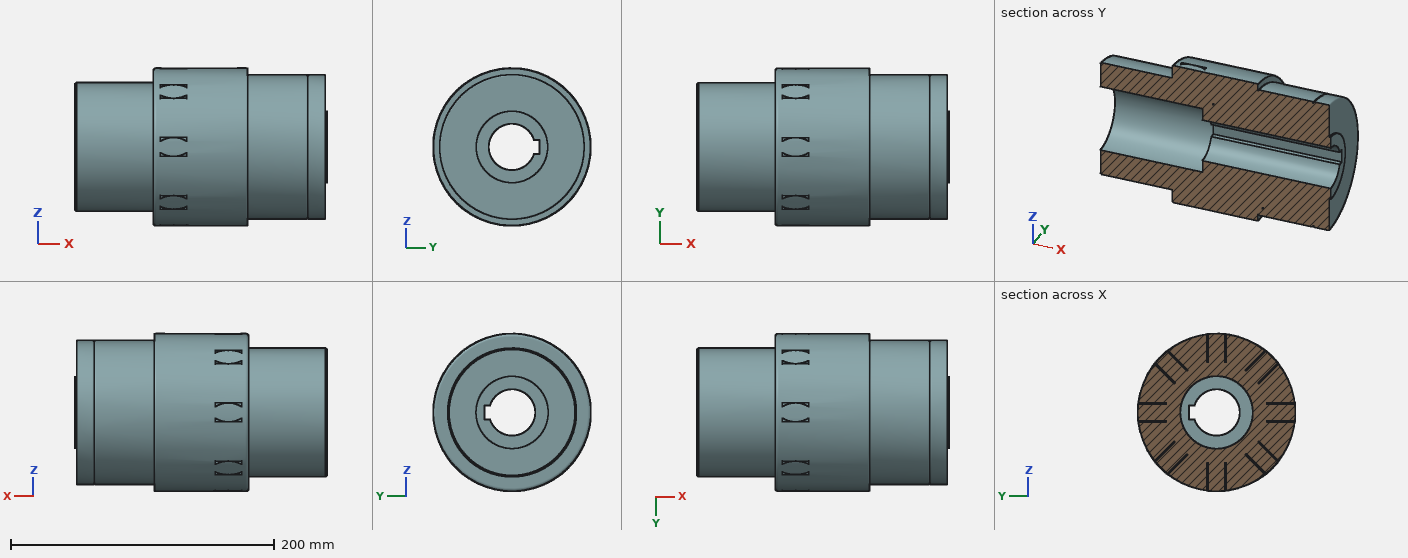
import cadquery as cq
import math

length = 191.5
flange_start = 59.4
slot_start = 65.0
slot_length = 20.0
flange_end = 131.2
groove_center = 177.0
hub_end = 190.4

flange_diameter = 120.0
left_bore_diameter = 55.0
right_bore_diameter = 35.0
left_hub_radius = 49.0
flange_radius = flange_diameter / 2
right_hub_radius = 55.0
boss_radius = 27.2
left_bore_radius = left_bore_diameter / 2
right_bore_radius = right_bore_diameter / 2

left_hub_chamfer = 1.1
right_hub_fillet = 1.1
flange_fillet = 2.5
flange_chamfer_length = 1.3
flange_chamfer_depth = 0.4
groove_floor_width = 0.2

keyway_width = 10.5
keyway_reach = 20.9

lobe_count = 8
lobe_width = 14.4
lobe_bulge = 2.9
lobe_root_radius = 38.3
cut_overshoot = 2.0

bore_step = slot_start + slot_length


def rising_round(profile, x, radius, fillet):
    """Quarter arc from a left-facing wall at x up to a cylinder of the given radius."""
    inset = fillet * (1 - math.sqrt(0.5))
    return profile.lineTo(x, radius - fillet).threePointArc(
        (x + inset, radius - inset), (x + fillet, radius)
    )


def falling_round(profile, x, radius, fillet):
    """Quarter arc from a cylinder of the given radius down to a right-facing wall at x."""
    inset = fillet * (1 - math.sqrt(0.5))
    return profile.lineTo(x - fillet, radius).threePointArc(
        (x - inset, radius - inset), (x, radius - fillet)
    )


def turned_body():
    """Revolve the outer half-profile of the coupling about X."""
    groove_start = groove_center - groove_floor_width / 2
    groove_end = groove_center + groove_floor_width / 2

    profile = (
        cq.Workplane("XY")
        .lineTo(0, left_hub_radius - left_hub_chamfer)
        .lineTo(left_hub_chamfer, left_hub_radius)
        .lineTo(flange_start, left_hub_radius)
    )

    profile = rising_round(profile, flange_start, flange_radius, flange_fillet)
    profile = (
        profile.lineTo(flange_end - flange_chamfer_length, flange_radius)
        .lineTo(flange_end, flange_radius - flange_chamfer_depth)
    )

    profile = rising_round(profile, flange_end, right_hub_radius, right_hub_fillet)
    profile = falling_round(profile, groove_start, right_hub_radius, right_hub_fillet)
    profile = rising_round(profile, groove_end, right_hub_radius, right_hub_fillet)
    profile = falling_round(profile, hub_end, right_hub_radius, right_hub_fillet)

    profile = profile.lineTo(hub_end, boss_radius).lineTo(length, boss_radius).lineTo(length, 0)
    return profile.close().revolve(360, (0, 0, 0), (1, 0, 0))


def bore_cutter():
    """Stepped through bore with a keyway along its smaller part."""
    depth = length - bore_step
    left_bore = cq.Workplane("YZ").circle(left_bore_radius).extrude(bore_step)
    step_plane = cq.Workplane("YZ", origin=(bore_step, 0, 0))
    right_bore = step_plane.circle(right_bore_radius).extrude(depth)
    keyway = step_plane.center(keyway_reach / 2, 0).rect(keyway_reach, keyway_width).extrude(depth)
    return left_bore.union(right_bore).union(keyway)


def lobe_gap_cutter():
    """Gaps between flat jaw faces and the bulged flanks of one lobe at the +Z side."""
    half_width = lobe_width / 2
    corner = half_width - lobe_bulge
    slot_end = slot_start + slot_length
    slot_middle = slot_start + slot_length / 2
    gap_height = flange_radius - lobe_root_radius + cut_overshoot
    base = cq.Workplane("XY", origin=(0, 0, lobe_root_radius))
    pocket = base.center(slot_middle, 0).rect(slot_length, lobe_width).extrude(gap_height)
    lobe = (
        base.moveTo(slot_start, -corner)
        .threePointArc((slot_middle, -half_width), (slot_end, -corner))
        .lineTo(slot_end, corner)
        .threePointArc((slot_middle, half_width), (slot_start, corner))
        .close()
        .extrude(gap_height)
    )
    return pocket.cut(lobe)


result = turned_body().cut(bore_cutter())
gaps = lobe_gap_cutter()
for index in range(lobe_count):
    angle = index * 360 / lobe_count
    result = result.cut(gaps.rotate((0, 0, 0), (1, 0, 0), angle))